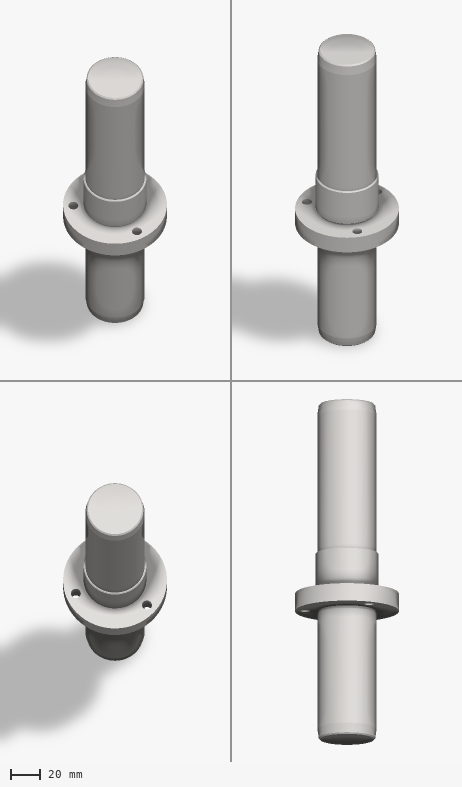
import cadquery as cq

length = 230.0
shaft_radius = 20.0

taper_length = 6.5
taper_end_radius = 19.0
end_chamfer = 1.0
taper_start = taper_length + end_chamfer

flange_radius = 35.0
flange_bottom = 88.0
flange_thickness = 12.0
flange_top = flange_bottom + flange_thickness
relief_radius = 19.3
relief_height = 1.2
relief_chamfer = shaft_radius - relief_radius

collar_radius = 21.2
collar_bottom = 101.2
collar_top = 127.9
collar_chamfer = 0.7

hole_count = 3
hole_diameter = 6.7
hole_circle_radius = 28.0


def make_body():
    """Revolve the stepped half profile (radius, height) about Z."""
    end_face_radius = taper_end_radius - end_chamfer
    profile = [
        (0, 0),
        (end_face_radius, 0),
        (taper_end_radius, end_chamfer),
        (shaft_radius, taper_start),
        (shaft_radius, flange_bottom - relief_height - relief_chamfer),
        (relief_radius, flange_bottom - relief_height),
        (relief_radius, flange_bottom),
        (flange_radius, flange_bottom),
        (flange_radius, flange_top),
        (shaft_radius, flange_top),
        (shaft_radius, collar_bottom),
        (collar_radius - collar_chamfer, collar_bottom),
        (collar_radius, collar_bottom + collar_chamfer),
        (collar_radius, collar_top - collar_chamfer),
        (collar_radius - collar_chamfer, collar_top),
        (shaft_radius, collar_top),
        (shaft_radius, length - taper_start),
        (taper_end_radius, length - end_chamfer),
        (end_face_radius, length),
        (0, length),
    ]
    return cq.Workplane("XZ").polyline(profile).close().revolve(360, (0, 0), (0, 1))


def make_bolt_holes():
    """Cylinders on the bolt circle, the first one on +X."""
    return (
        cq.Workplane("XY", origin=(0, 0, flange_bottom))
        .polarArray(hole_circle_radius, 0, 360, hole_count)
        .circle(hole_diameter / 2)
        .extrude(flange_thickness)
    )


result = make_body().cut(make_bolt_holes())